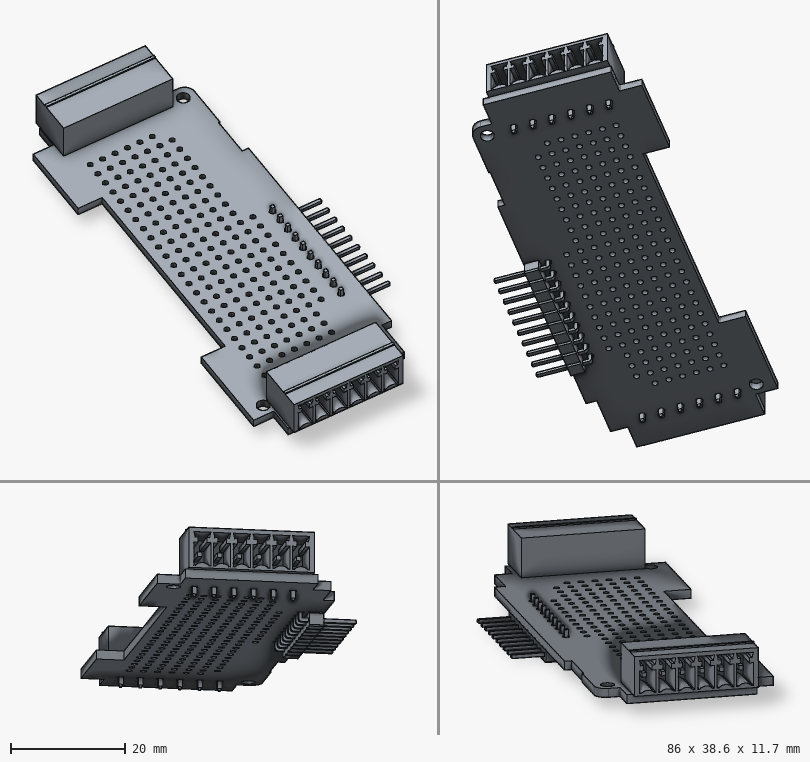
import cadquery as cq


board_thickness = 1.6
board_left = -37.0
board_right = 36.8
tab_reach = 41.6
tab_front = 4.1
tab_rear = 27.7
notch_left = -21.9
notch_right = 19.3
notch_depth = 4.9
rear_edge = 32.85
rear_edge_left = -18.6
rear_edge_right = 29.3
right_shoulder = 30.9
left_shoulder = 31.6
corner_rear = 31.8
corner_land_end = -26.5
corner_radius = 2.1
inner_corner_radius = 0.2
mounting_diameter = 2.4
mounting_places = [(-34.7, 29.3), (34.7, 3.3)]
pin_hole_diameter = 1.2

grid_diameter = 1.0
grid_columns = 24
grid_length = 58.4
grid_pitch = grid_length / (grid_columns - 1)
grid_left = -29.7
grid_front = 7.2
grid_rows = [(0, 23)] * 6 + [(1, 22), (10, 19)]

connector_length = 22.4
connector_width = 9.2
connector_height = 7.2
mouth_reach = 43.0
left_connector_y = 15.5
right_connector_y = 15.65
rib_offset = 2.9
rib_width = 0.5
rib_height = 0.3
way_count = 6
way_span = 17.55
way_pitch = way_span / (way_count - 1)
cavity_depth = 6.9
cavity_width = 3.0
cavity_floor = 0.4
cavity_shoulder = 4.6
key_neck_width = 1.55
key_neck_top = 5.5
key_base_width = 2.6
key_top_width = 3.0
key_top = 6.45
hump_width = 2.4
hump_height = 0.5
contact_size = 0.8
contact_height = 3.0
contact_tip_depth = 2.6
tail_offset = 7.9
tail_length = 1.7
tail_taper_length = 0.4
tail_taper_inset = 0.3

header_count = 10
header_x = 7.8
header_y = 31.3
header_size = 2.6
header_chamfer = 0.3
header_pin_size = 0.645
header_pin_y = 28.6
header_pin_top = 1.3
header_pin_rear = 38.6
bend_radius = 0.5
tip_chamfer = 0.2


def spaced(count, pitch, middle=0.0):
    """Evenly spaced positions centred on middle."""
    return [middle + (i - (count - 1) / 2) * pitch for i in range(count)]


way_offsets = spaced(way_count, way_pitch)
header_xs = spaced(header_count, grid_pitch, header_x)
tail_reach = mouth_reach - tail_offset


def vertical_edge_at(body, corner):
    return body.edges("|Z").edges(cq.NearestToPointSelector((*corner, board_thickness / 2)))


def drill(body, places, diameter):
    tools = cq.Workplane().pushPoints(places).circle(diameter / 2).extrude(board_thickness)
    return body.cut(tools)


def make_board():
    outline = [
        (board_left, 0),
        (notch_left, 0),
        (notch_left, notch_depth),
        (notch_right, notch_depth),
        (notch_right, 0),
        (board_right, 0),
        (board_right, tab_front),
        (tab_reach, tab_front),
        (tab_reach, tab_rear),
        (board_right, tab_rear),
        (board_right, right_shoulder),
        (rear_edge_right, right_shoulder),
        (rear_edge_right, rear_edge),
        (rear_edge_left, rear_edge),
        (rear_edge_left, left_shoulder),
        (corner_land_end, left_shoulder),
        (corner_land_end, corner_rear),
        (board_left, corner_rear),
        (board_left, tab_rear),
        (-tab_reach, tab_rear),
        (-tab_reach, tab_front),
        (board_left, tab_front),
    ]
    board = cq.Workplane().polyline(outline).close().extrude(board_thickness)

    board = vertical_edge_at(board, (board_left, corner_rear)).fillet(corner_radius)
    for x in (board_left, board_right):
        for y in (tab_front, tab_rear):
            board = vertical_edge_at(board, (x, y)).fillet(inner_corner_radius)
    board = vertical_edge_at(board, (notch_right, notch_depth)).fillet(inner_corner_radius)

    board = drill(board, mounting_places, mounting_diameter)
    grid_places = [
        (grid_left + column * grid_pitch, grid_front + row * grid_pitch)
        for row, (first, last) in enumerate(grid_rows)
        for column in range(first, last + 1)
    ]
    board = drill(board, grid_places, grid_diameter)
    pin_places = [(x, header_pin_y) for x in header_xs]
    pin_places += [(-tail_reach, left_connector_y + y) for y in way_offsets]
    pin_places += [(tail_reach, right_connector_y + y) for y in way_offsets]
    return drill(board, pin_places, pin_hole_diameter)


def make_cavities():
    """Keyed cavities, with a round hump along each floor, cut inward from the mouth at X = 0."""
    outline = [
        (cavity_width / 2, cavity_floor),
        (cavity_width / 2, cavity_shoulder),
        (key_neck_width / 2, cavity_shoulder),
        (key_neck_width / 2, key_neck_top),
        (key_base_width / 2, key_neck_top),
        (key_top_width / 2, key_top),
    ]
    mirrored = [(-y, z) for y, z in reversed(outline)]
    cavity = (
        cq.Workplane("YZ")
        .moveTo(-hump_width / 2, cavity_floor)
        .threePointArc((0, cavity_floor + hump_height), (hump_width / 2, cavity_floor))
        .polyline(outline + mirrored, includeCurrent=True)
        .close()
        .extrude(cavity_depth)
    )
    cavities = cq.Workplane()
    for y in way_offsets:
        cavities = cavities.add(cavity.translate((0, y, 0)))
    return cavities.combine()


def make_contact():
    """Horizontal contact blade and the tapered solder tail through the board."""
    blade = cq.Workplane().box(
        tail_offset - contact_tip_depth, contact_size, contact_size, centered=(False, True, True)
    ).translate((contact_tip_depth, 0, contact_height))
    tail_drop = board_thickness + tail_length
    tail = (
        cq.Workplane()
        .box(contact_size, contact_size, contact_height + tail_drop, centered=(True, True, False))
        .faces("<Z")
        .chamfer(tail_taper_length, tail_taper_inset)
        .translate((tail_offset, 0, -tail_drop))
    )
    return blade.union(tail)


def make_connector(mouth_x, middle_y, turn):
    """Six-way connector standing on the board; turn is its rotation about Z in degrees."""
    connector = cq.Workplane().box(
        connector_width, connector_length, connector_height, centered=(False, True, False)
    )
    rib = cq.Workplane().box(
        rib_width, connector_length, rib_height, centered=(False, True, False)
    ).translate((rib_offset, 0, connector_height))
    connector = connector.union(rib).cut(make_cavities())
    contact = make_contact()
    for y in way_offsets:
        connector = connector.union(contact.translate((0, y, 0)))
    return connector.rotate((0, 0, 0), (0, 0, 1), turn).translate((mouth_x, middle_y, board_thickness))


def make_header_pin():
    """Right-angle pin: upright through the board, then level toward the rear."""
    half = header_pin_size / 2
    axis_z = -header_size / 2
    top = board_thickness + header_pin_top
    outline = [
        (header_pin_y - half, top),
        (header_pin_y - half, axis_z - half),
        (header_pin_rear, axis_z - half),
        (header_pin_rear, axis_z + half),
        (header_pin_y + half, axis_z + half),
        (header_pin_y + half, top),
    ]
    pin = cq.Workplane("YZ").polyline(outline).close().extrude(half, both=True)
    pin = pin.edges("<Y and <Z").fillet(bend_radius)
    return pin.faces(">Y").chamfer(tip_chamfer)


def make_header():
    """Plastic strip of bevelled segments under the board, with one pin through each."""
    segment = (
        cq.Workplane()
        .box(grid_pitch, header_size, header_size)
        .edges("|Y")
        .chamfer(header_chamfer)
        .translate((0, header_y, -header_size / 2))
        .union(make_header_pin())
    )
    header = segment.translate((header_xs[0], 0, 0))
    for x in header_xs[1:]:
        header = header.union(segment.translate((x, 0, 0)))
    return header


board = make_board()
left_connector = make_connector(-mouth_reach, left_connector_y, 0)
right_connector = make_connector(mouth_reach, right_connector_y, 180)
header = make_header()

result = cq.Compound.makeCompound(
    [board.val(), left_connector.val(), right_connector.val(), header.val()]
)